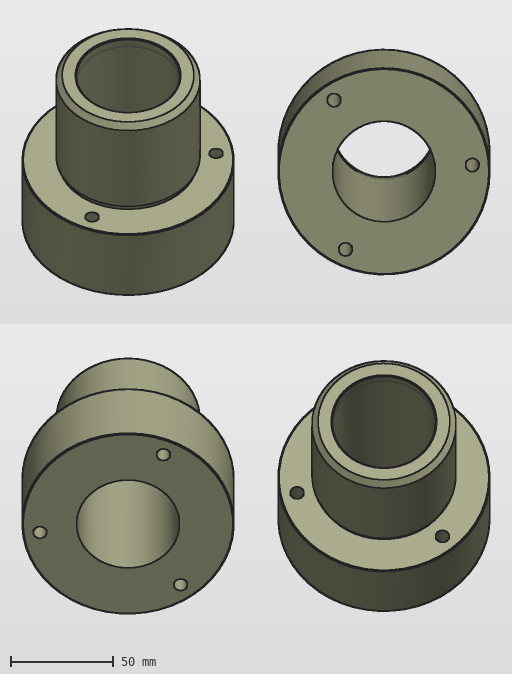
import cadquery as cq

total_height = 100.0
flange_radius = 51.5
flange_height = 42.0
flange_chamfer = 0.5

sleeve_radius = 35.0
sleeve_chamfer = 3.0
relief_radius = 34.0
relief_height = 3.0

bore_radius = 25.0
seat_radius = 25.1
seat_depth = 4.5
seat_taper_height = 0.5
seat_chamfer = 0.5

bolt_hole_count = 3
bolt_hole_diameter = 6.6
bolt_circle_radius = 43.0
first_bolt_angle = -90


def make_body():
    """Revolve the stepped half-section, including the bore and its seat."""
    relief_top = flange_height + relief_height
    return (
        cq.Workplane("XZ")
        .moveTo(bore_radius, 0)
        .lineTo(flange_radius - flange_chamfer, 0)
        .lineTo(flange_radius, flange_chamfer)
        .lineTo(flange_radius, flange_height - flange_chamfer)
        .lineTo(flange_radius - flange_chamfer, flange_height)
        .lineTo(relief_radius, flange_height)
        .lineTo(relief_radius, relief_top)
        .lineTo(sleeve_radius, relief_top)
        .lineTo(sleeve_radius, total_height - sleeve_chamfer)
        .lineTo(sleeve_radius - sleeve_chamfer, total_height)
        .lineTo(seat_radius + seat_chamfer, total_height)
        .lineTo(seat_radius, total_height - seat_chamfer)
        .lineTo(seat_radius, total_height - seat_depth)
        .lineTo(bore_radius, total_height - seat_depth - seat_taper_height)
        .close()
        .revolve(360, (0, 0), (0, 1))
    )


def make_bolt_holes():
    """Evenly spaced cylinders to cut through the full flange height."""
    return (
        cq.Workplane("XY")
        .polarArray(bolt_circle_radius, first_bolt_angle, 360, bolt_hole_count)
        .circle(bolt_hole_diameter / 2)
        .extrude(flange_height)
    )


result = make_body().cut(make_bolt_holes())